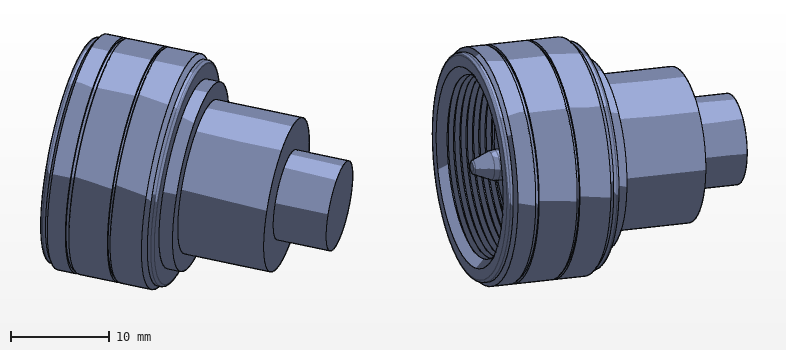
import cadquery as cq
import math


nut_radius = 12.25
nut_length = 12.05
lip_radius = 11.78
lip_fillet = 0.28
rear_chamfer_length = nut_radius - lip_radius
front_chamfer_length = 0.35
front_lip_length = 0.6
rear_lip_length = 0.65

grip_grooves = [(2.85, 0.37), (7.31, 0.28)]
grip_groove_depth = 0.25

overall_length = 28.25
flange_radius = 9.85
flange_end = 13.5
body_radius = 8.02
body_end = 22.62
tail_radius = 4.7

mouth_radius = 10.34
thread_minor_radius = 9.45
thread_pitch = 0.68
thread_turns = 9
thread_flank_angle = math.radians(30)
thread_depth = thread_pitch / 2 / math.tan(thread_flank_angle)
runout_depth = 0.7
mouth_chamfer = mouth_radius - thread_minor_radius
runout_root = mouth_chamfer + thread_turns * thread_pitch + runout_depth * math.tan(thread_flank_angle)
socket_depth = runout_root + runout_depth

boss_radius = 7.31
boss_face = 5.2
recess_radius = 5.08
recess_depth = 0.23
gap_outer_radius = 7.55
gap_depth = 0.56

pin_radius = 1.58
pin_tip = 0.23
pin_tip_radius = 0.68
pin_shoulder = 2.45
pin_shoulder_blend = 1.52
pin_tip_fillet = 0.25


def cylinder(radius, start, end):
    """Solid cylinder on the X axis between two stations."""
    return cq.Workplane("YZ").workplane(offset=start).circle(radius).extrude(end - start)


def ring(outer_radius, inner_radius, start, end):
    """Tube on the X axis between two stations."""
    return cylinder(outer_radius, start, end).cut(cylinder(inner_radius, start, end))


def turned(points):
    """Solid of revolution about the X axis from (x, radius) points."""
    return cq.Workplane("XY").polyline(points).close().revolve(360, (0, 0, 0), (1, 0, 0))


def make_nut():
    """Solid nut with a rounded lip and a chamfer at each end, and the grip grooves cut in."""
    rear_lip_start = nut_length - rear_lip_length
    nut = turned([
        (0, 0),
        (0, lip_radius),
        (front_lip_length, lip_radius),
        (front_lip_length + front_chamfer_length, nut_radius),
        (rear_lip_start - rear_chamfer_length, nut_radius),
        (rear_lip_start, lip_radius),
        (nut_length, lip_radius),
        (nut_length, 0),
    ])
    nut = nut.faces("<X or >X").edges().fillet(lip_fillet)
    for start, width in grip_grooves:
        nut = nut.cut(ring(nut_radius, nut_radius - grip_groove_depth, start, start + width))
    return nut


def make_socket():
    """Cavity with a chamfered mouth and V-shaped thread rings and a runout groove."""
    points = [(0, 0), (0, mouth_radius), (mouth_chamfer, thread_minor_radius)]
    for turn in range(thread_turns):
        crest = mouth_chamfer + turn * thread_pitch
        points.append((crest + thread_pitch / 2, thread_minor_radius + thread_depth))
        points.append((crest + thread_pitch, thread_minor_radius))
    points.append((runout_root, thread_minor_radius + runout_depth))
    points.append((socket_depth, thread_minor_radius))
    points.append((socket_depth, 0))
    return turned(points)


def make_pin():
    """Tapered pin with a rounded tip and a blended shoulder."""
    pin = turned([
        (pin_tip, 0),
        (pin_tip, pin_tip_radius),
        (pin_shoulder, pin_radius),
        (socket_depth, pin_radius),
        (socket_depth, 0),
    ])
    pin = pin.faces("<X").edges().fillet(pin_tip_fillet)
    along = 0.03
    across = 2 * pin_radius
    shoulder_edge = cq.selectors.BoxSelector(
        (pin_shoulder - along, -across, -across),
        (pin_shoulder + along, across, across),
        boundingbox=True,
    )
    return pin.edges(shoulder_edge).fillet(pin_shoulder_blend)


outside = make_nut()
outside = outside.union(cylinder(flange_radius, nut_length, flange_end))
outside = outside.union(cylinder(body_radius, flange_end, body_end))
outside = outside.union(cylinder(tail_radius, body_end, overall_length))

boss = cylinder(boss_radius, boss_face, socket_depth)
boss = boss.cut(cylinder(recess_radius, boss_face, boss_face + recess_depth))
floor_gap = ring(gap_outer_radius, boss_radius, socket_depth, socket_depth + gap_depth)

result = outside.cut(make_socket()).cut(floor_gap).union(boss).union(make_pin())